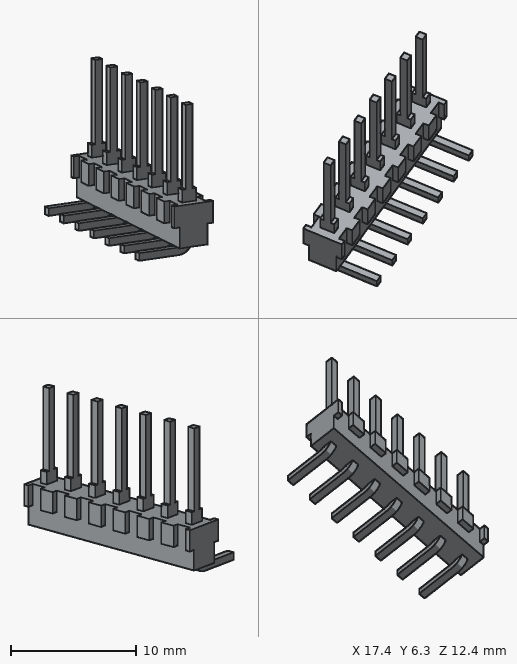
import cadquery as cq


pin_count = 7
pitch = 2.54

housing_length = 17.37
housing_height = 3.55
core_depth = 2.52
tab_span = 3.53
tab_height = 1.8
notch_width = pitch / 2

pin_width = 0.65
collar_depth = 2 * pin_width
collar_height = 1.06
shank_height = 7.0
pin_top = housing_height + collar_height + shank_height
tail_bottom = -0.78
tail_reach = 6.3
tail_end = tab_span / 2 - tail_reach
bend_inner_radius = pin_width

pin_positions = [(i - (pin_count - 1) / 2) * pitch for i in range(pin_count)]


def block(length, depth, bottom, top):
    """Box centred on X and Y between two heights."""
    return (
        cq.Workplane("XY")
        .workplane(offset=bottom)
        .rect(length, depth)
        .extrude(top - bottom)
    )


def make_housing():
    """Core with a wider upper band, notched front and back at every pin."""
    tab_bottom = housing_height - tab_height
    core = block(housing_length, core_depth, 0, housing_height)
    band = block(housing_length, tab_span, tab_bottom, housing_height)
    notch = block(notch_width, tab_span, tab_bottom, housing_height)
    for x in pin_positions:
        band = band.cut(notch.translate((x, 0, 0)))
    return core.union(band)


def make_pin():
    """Square pin with a collar rooted in the core and a tail bent toward -Y."""
    tail_top = tail_bottom + pin_width
    bend_center_y = -pin_width / 2 - bend_inner_radius
    bend_center_z = tail_top + bend_inner_radius
    bend_outer_radius = bend_inner_radius + pin_width
    profile = (
        cq.Workplane("YZ")
        .moveTo(pin_width / 2, pin_top)
        .lineTo(pin_width / 2, bend_center_z)
        .radiusArc((bend_center_y, tail_bottom), bend_outer_radius)
        .lineTo(tail_end, tail_bottom)
        .lineTo(tail_end, tail_top)
        .lineTo(bend_center_y, tail_top)
        .radiusArc((-pin_width / 2, bend_center_z), -bend_inner_radius)
        .lineTo(-pin_width / 2, pin_top)
        .close()
    )
    shank = profile.extrude(pin_width / 2, both=True)
    collar = block(pin_width, collar_depth, 0, housing_height + collar_height)
    return shank.union(collar)


result = make_housing()
pin = make_pin()
for x in pin_positions:
    result = result.union(pin.translate((x, 0, 0)))